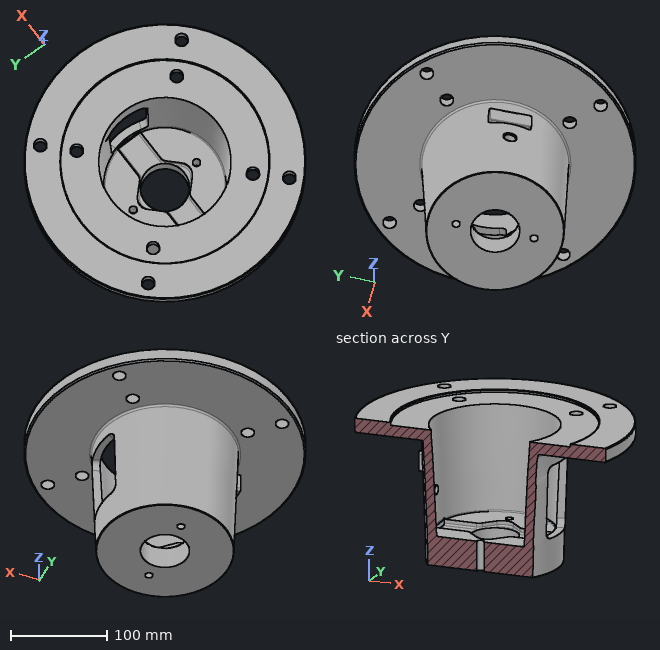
import cadquery as cq
import math

OVERALL_HEIGHT = 150.81
FLANGE_DIAMETER = 292.1
FLANGE_THICKNESS = 15.9
FLANGE_TOP_CHAMFER = 1.0
FLANGE_BOTTOM_CHAMFER = 1.6
PILOT_DIAMETER = 215.9
PILOT_DEPTH = 3.0
PILOT_CHAMFER = 0.8

BOLT_HOLE_DIAMETER = 13.5
BOLT_CIRCLE_DIAMETERS = (184.15, 260.35)
BOLT_COUNT = 4
FIRST_BOLT_ANGLE = 45.0

BARREL_BASE_RADIUS = 71.6
BARREL_DRAFT = 2.0
BARREL_EDGE_CHAMFER = 0.6
BARREL_ROOT_FILLET = 2.0

BORE_MOUTH_RADIUS = 68.7
BORE_DRAFT = 2.5
BORE_DEPTH = 118.0
BORE_FLOOR_FILLET = 1.3

PUMP_HOLE_DIAMETER = 50.8
PUMP_BOLT_SPACING = 82.55
PUMP_BOLT_HOLE_DIAMETER = 7.94

RELIEF_DEPTH = 6.0
RELIEF_FLOOR_FILLET = 2.0
CHANNEL_LENGTH = 124.0
CHANNEL_WIDTH = 29.3
DIAMOND_TIP_REACH = 32.5
DIAMOND_TIP_RADIUS = 13.0
DIAMOND_SIDE_ANGLE = 45.0
CHANNEL_JUNCTION_RADIUS = 8.0

WINDOW_HALF_ANGLE = 22.0
WINDOW_INNER_X = 50.0
WINDOW_TOP_Z = -32.5
WINDOW_BOTTOM_Z = -112.8
WINDOW_CORNER_RADIUS = 8.0

PLATE_WIDTH = 44.9
PLATE_HEIGHT = 22.0
PLATE_CENTRE_Z = -45.8
PLATE_FACE_X = -76.4
PLATE_INNER_X = -70.5
PLATE_CORNER_RADIUS = 2.5
PLATE_EDGE_FILLET = 0.8

RADIAL_HOLE_Z = -82.0
RADIAL_HOLE_INNER_DIAMETER = 9.8
RADIAL_HOLE_OUTER_DIAMETER = 12.6
RADIAL_HOLE_TAPER_DEPTH = 8.0
COUNTERSINK_DIAMETER = 15.2
COUNTERSINK_DEPTH = 1.2

BARREL_HEIGHT = OVERALL_HEIGHT - FLANGE_THICKNESS
BARREL_TOP_RADIUS = BARREL_BASE_RADIUS + BARREL_HEIGHT * math.tan(math.radians(BARREL_DRAFT))
BORE_FLOOR_RADIUS = BORE_MOUTH_RADIUS - BORE_DEPTH * math.tan(math.radians(BORE_DRAFT))


def cone_down(top_radius, bottom_radius, top_z, height):
    """Upright cone frustum whose top face is at top_z."""
    frustum = cq.Solid.makeCone(
        top_radius, bottom_radius, height, cq.Vector(0, 0, top_z), cq.Vector(0, 0, -1)
    )
    return cq.Workplane(obj=frustum)


def make_flange():
    flange = cq.Workplane().circle(FLANGE_DIAMETER / 2).extrude(-FLANGE_THICKNESS)
    flange = flange.faces(">Z").edges().chamfer(FLANGE_TOP_CHAMFER)
    return flange.faces("<Z").edges().chamfer(FLANGE_BOTTOM_CHAMFER)


def make_flanged_barrel():
    """Flange and barrel joined by a fillet at the barrel root."""
    barrel = cone_down(BARREL_TOP_RADIUS, BARREL_BASE_RADIUS, -FLANGE_THICKNESS, BARREL_HEIGHT)
    barrel = barrel.faces("<Z").edges().chamfer(BARREL_EDGE_CHAMFER)
    joined = make_flange().union(barrel)
    underside_circles = joined.faces("|Z").faces("<Z[1]").edges()
    return underside_circles.edges(cq.selectors.RadiusNthSelector(0)).fillet(BARREL_ROOT_FILLET)


def make_name_plate():
    plate = (
        cq.Workplane("YZ", origin=(PLATE_FACE_X, 0, PLATE_CENTRE_Z))
        .rect(PLATE_WIDTH, PLATE_HEIGHT)
        .extrude(PLATE_INNER_X - PLATE_FACE_X)
    )
    plate = plate.edges("|X").fillet(PLATE_CORNER_RADIUS)
    return plate.faces("<X").edges().fillet(PLATE_EDGE_FILLET)


def make_bore():
    bore = cone_down(BORE_MOUTH_RADIUS, BORE_FLOOR_RADIUS, 0, BORE_DEPTH)
    return bore.faces("<Z").edges().fillet(BORE_FLOOR_FILLET)


def make_pilot_recess():
    recess = cq.Workplane().circle(PILOT_DIAMETER / 2).extrude(-PILOT_DEPTH)
    lead_in = cone_down(PILOT_DIAMETER / 2 + PILOT_CHAMFER, PILOT_DIAMETER / 2, 0, PILOT_CHAMFER)
    return recess.union(lead_in)


def make_bolt_holes():
    holes = cq.Workplane()
    for circle_diameter in BOLT_CIRCLE_DIAMETERS:
        ring = (
            cq.Workplane()
            .polarArray(circle_diameter / 2, FIRST_BOLT_ANGLE, 360, BOLT_COUNT)
            .circle(BOLT_HOLE_DIAMETER / 2)
            .extrude(-FLANGE_THICKNESS)
        )
        holes = holes.add(ring)
    return holes.combine()


def make_pump_holes():
    shaft_hole = cq.Workplane().circle(PUMP_HOLE_DIAMETER / 2).extrude(-OVERALL_HEIGHT)
    bolt_holes = (
        cq.Workplane()
        .pushPoints([(0, PUMP_BOLT_SPACING / 2), (0, -PUMP_BOLT_SPACING / 2)])
        .circle(PUMP_BOLT_HOLE_DIAMETER / 2)
        .extrude(-OVERALL_HEIGHT)
    )
    return shaft_hole.union(bolt_holes)


def make_floor_relief():
    """Channel and diamond sunk from the bore floor, cut clear of the bore's floor fillet."""
    top = cq.Workplane(origin=(0, 0, BORE_FLOOR_FILLET - BORE_DEPTH))
    cut_height = RELIEF_DEPTH + BORE_FLOOR_FILLET
    channel = top.rect(CHANNEL_LENGTH, CHANNEL_WIDTH).extrude(-cut_height)

    side_angle = math.radians(DIAMOND_SIDE_ANGLE)
    tip_centre_y = DIAMOND_TIP_REACH - DIAMOND_TIP_RADIUS
    tangent_x = DIAMOND_TIP_RADIUS * math.sin(side_angle)
    tangent_y = tip_centre_y + DIAMOND_TIP_RADIUS * math.cos(side_angle)
    corner_x = tangent_x + tangent_y / math.tan(side_angle)
    diamond = (
        top.moveTo(corner_x, 0)
        .lineTo(tangent_x, tangent_y)
        .threePointArc((0, DIAMOND_TIP_REACH), (-tangent_x, tangent_y))
        .lineTo(-corner_x, 0)
        .lineTo(-tangent_x, -tangent_y)
        .threePointArc((0, -DIAMOND_TIP_REACH), (tangent_x, -tangent_y))
        .close()
        .extrude(-cut_height)
    )

    junction_reach = (CHANNEL_WIDTH / 2 + tangent_y) / 2
    junctions = cq.selectors.BoxSelector(
        (-corner_x, -junction_reach, -OVERALL_HEIGHT),
        (corner_x, junction_reach, 0),
    )
    relief = channel.union(diamond)
    relief = relief.edges("|Z").edges(junctions).fillet(CHANNEL_JUNCTION_RADIUS)
    return relief.faces("<Z").edges("not |Y").fillet(RELIEF_FLOOR_FILLET)


def make_window():
    slope = math.tan(math.radians(WINDOW_HALF_ANGLE))
    inner_y = WINDOW_INNER_X * slope
    outer_y = BARREL_TOP_RADIUS * slope
    window = (
        cq.Workplane(origin=(0, 0, WINDOW_BOTTOM_Z))
        .moveTo(WINDOW_INNER_X, -inner_y)
        .lineTo(BARREL_TOP_RADIUS, -outer_y)
        .lineTo(BARREL_TOP_RADIUS, outer_y)
        .lineTo(WINDOW_INNER_X, inner_y)
        .close()
        .extrude(WINDOW_TOP_Z - WINDOW_BOTTOM_Z)
    )
    return window.faces("|Z").edges("not |Y").fillet(WINDOW_CORNER_RADIUS)


def make_radial_hole():
    """Hole turned about its own axis, running inward from clear outside the sloping wall."""
    draft_slope = math.tan(math.radians(BARREL_DRAFT))
    mouth_x = -BARREL_BASE_RADIUS - (OVERALL_HEIGHT + RADIAL_HOLE_Z) * draft_slope
    taper_start_x = mouth_x + COUNTERSINK_DEPTH
    taper_end_x = taper_start_x + RADIAL_HOLE_TAPER_DEPTH
    outer_end_x = -BARREL_TOP_RADIUS
    mouth_radius = COUNTERSINK_DIAMETER / 2
    taper_radius = RADIAL_HOLE_OUTER_DIAMETER / 2
    inner_radius = RADIAL_HOLE_INNER_DIAMETER / 2
    half_section = (
        cq.Workplane("XZ", origin=(0, 0, RADIAL_HOLE_Z))
        .moveTo(outer_end_x, 0)
        .lineTo(outer_end_x, mouth_radius)
        .lineTo(mouth_x, mouth_radius)
        .lineTo(taper_start_x, taper_radius)
        .lineTo(taper_end_x, inner_radius)
        .lineTo(0, inner_radius)
        .lineTo(0, 0)
        .close()
    )
    return half_section.revolve(360, (0, 0, 0), (1, 0, 0))


body = make_flanged_barrel().union(make_name_plate())
cutters = (
    make_bore(),
    make_pilot_recess(),
    make_bolt_holes(),
    make_pump_holes(),
    make_floor_relief(),
    make_window(),
    make_radial_hole(),
)
for cutter in cutters:
    body = body.cut(cutter)

result = body